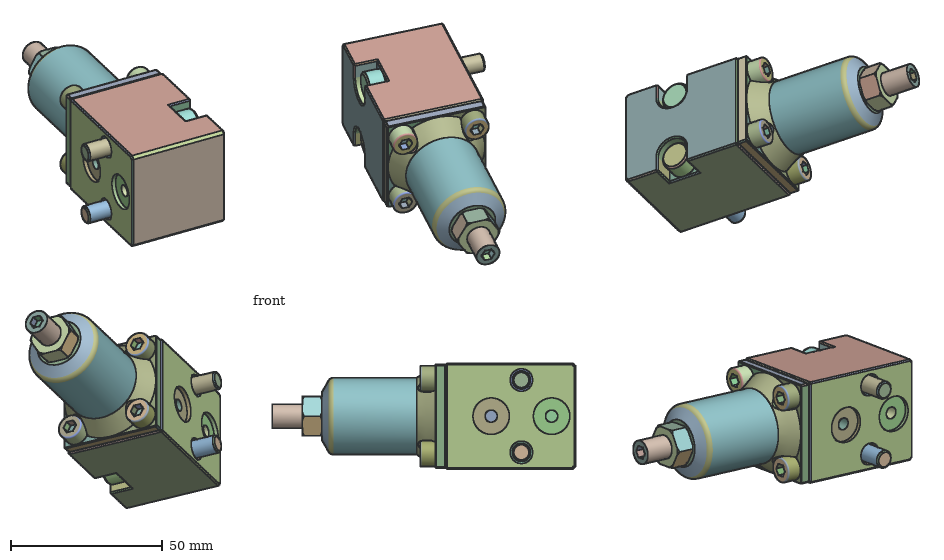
import cadquery as cq
import math

TIP_X = 0.0
NUT_X = 10.0
NOSE_X = 16.5
FLARE_X = 47.8
FLANGE_X = 54.0
BLOCK_X = 57.4
END_X = 100.5

BLOCK_SIDE = 35.0
BLOCK_EDGE_CHAMFER = 0.5
BLOCK_JOINT_CHAMFER = 0.5
BLOCK_END_CHAMFER = 1.0

PORT_X = 72.5
PORT_PITCH = 20.0
PORT_RECESS_DIAMETER = 12.1
PORT_RECESS_DEPTH = 1.4
PORT_HOLE_DIAMETER = 4.0
PORT_HOLE_DEPTH = 10.0

MOUNT_X = PORT_X + PORT_PITCH / 2
MOUNT_Z = 12.0
MOUNT_DIAMETER = 6.0
MOUNT_CLEARANCE = 7.4
MOUNT_HEAD_DIAMETER = 9.9
MOUNT_HEAD_HEIGHT = 6.0
MOUNT_HEAD_CHAMFER = 0.6
MOUNT_TIP_CHAMFER = 0.5
MOUNT_PROJECTION = 8.0
NOTCH_WIDTH = 11.1
NOTCH_DEPTH = 7.9
NOTCH_CHAMFER = 0.5
CHAMFER_ANGLE = 45

FLANGE_SIDE = 34.4
FLANGE_EDGE_CHAMFER = 0.5
FLANGE_RIM_CHAMFER = 0.3
BARREL_RADIUS = 12.8
FLARE_RADIUS = 16.9
NOSE_RADIUS = 8.0
NOSE_ANGLE = math.radians(60)
NOSE_BLEND = 2.0

COVER_SCREW_OFFSET = 12.5
COVER_SCREW_DIAMETER = 5.0
COVER_SCREW_LENGTH = 12.1
COVER_HEAD_DIAMETER = 8.5
COVER_HEAD_HEIGHT = 5.0
COVER_HEAD_FILLET = 0.5
COVER_HEAD_CLEARANCE = 9.0

ADJUSTER_DIAMETER = 8.0
NUT_FLATS = 13.1
NUT_CHAMFER_LENGTH = 0.5
NUT_CHAMFER_DEPTH = 0.6
SOCKET_FLATS = 4.0
SOCKET_DEPTH = 3.0


def yz_plane(x):
    """Plane facing +X at station x, with local axes along Y and Z."""
    return cq.Workplane("YZ", origin=(x, 0, 0))


def hexagon_diameter(flats):
    """Distance across the corners of a hexagon."""
    return flats / math.cos(math.pi / 6)


def hex_socket(x):
    """Socket cut into the -X end of a screw; the corners point along Y."""
    return yz_plane(x).polygon(6, hexagon_diameter(SOCKET_FLATS)).extrude(SOCKET_DEPTH)


COVER_SCREW_PLACES = [
    (side_y * COVER_SCREW_OFFSET, side_z * COVER_SCREW_OFFSET)
    for side_y in (-1, 1)
    for side_z in (-1, 1)
]


def cover_screw_holes():
    holes = yz_plane(FLANGE_X).pushPoints(COVER_SCREW_PLACES)
    return holes.circle(COVER_SCREW_DIAMETER / 2).extrude(COVER_SCREW_LENGTH)


FRONT_Y = -BLOCK_SIDE / 2
BACK_Y = BLOCK_SIDE / 2
SEAT_Y = BACK_Y - NOTCH_DEPTH


def xz_plane(y, z, x=MOUNT_X, facing=1):
    """Plane at level y facing +Y, or -Y when facing is -1, centred on x and z."""
    return cq.Workplane(cq.Plane(origin=(x, y, z), xDir=(1, 0, 0), normal=(0, facing, 0)))


def notch_outline(y, width):
    """U shape around the upper mounting screw, open through the top face."""
    top = BLOCK_SIDE / 2 - MOUNT_Z + NOTCH_CHAMFER
    half = width / 2
    outline = xz_plane(y, MOUNT_Z, facing=-1).moveTo(half, top).lineTo(half, 0)
    return outline.threePointArc((0, -half), (-half, 0)).lineTo(-half, top).close()


def upper_mounting_recess():
    """Clearance hole and notch for the upper screw, with the notch edges chamfered."""
    hole = xz_plane(FRONT_Y, MOUNT_Z).circle(MOUNT_CLEARANCE / 2).extrude(BLOCK_SIDE)
    notch = notch_outline(BACK_Y, NOTCH_WIDTH).extrude(NOTCH_DEPTH)
    mouth_width = NOTCH_WIDTH + 2 * NOTCH_CHAMFER
    mouth_depth = NOTCH_DEPTH + NOTCH_CHAMFER
    back_mouth = notch_outline(BACK_Y, mouth_width).extrude(NOTCH_CHAMFER, taper=CHAMFER_ANGLE)
    top_mouth = (
        cq.Workplane("XY", origin=(MOUNT_X, BACK_Y, BLOCK_SIDE / 2))
        .rect(mouth_width, 2 * mouth_depth)
        .extrude(-NOTCH_CHAMFER, taper=CHAMFER_ANGLE)
    )
    return hole.union(notch).union(back_mouth).union(top_mouth)


def make_block():
    length = END_X - BLOCK_X
    block = cq.Workplane("XY").box(length, BLOCK_SIDE, BLOCK_SIDE)
    block = block.translate((BLOCK_X + length / 2, 0, 0))
    block = block.faces(">X").edges("|Y").chamfer(BLOCK_END_CHAMFER)
    block = block.faces("<Y or >Y").edges("not <X").chamfer(BLOCK_EDGE_CHAMFER)
    block = block.faces("<X").edges().chamfer(BLOCK_JOINT_CHAMFER)
    for port_x in (PORT_X, PORT_X + PORT_PITCH):
        face = xz_plane(FRONT_Y, 0, x=port_x)
        block = block.cut(face.circle(PORT_RECESS_DIAMETER / 2).extrude(PORT_RECESS_DEPTH))
        block = block.cut(face.circle(PORT_HOLE_DIAMETER / 2).extrude(PORT_HOLE_DEPTH))
    recess = upper_mounting_recess()
    block = block.cut(recess).cut(recess.mirror("XY"))
    return block.cut(cover_screw_holes())


def make_cover():
    blend_start_r = BARREL_RADIUS - NOSE_BLEND * (1 - math.cos(NOSE_ANGLE))
    blend_start_x = NOSE_X + (blend_start_r - NOSE_RADIUS) / math.tan(NOSE_ANGLE)
    blend_end_x = blend_start_x + NOSE_BLEND * math.sin(NOSE_ANGLE)
    blend_mid_x = blend_end_x - NOSE_BLEND * math.sin(NOSE_ANGLE / 2)
    blend_mid_r = BARREL_RADIUS - NOSE_BLEND * (1 - math.cos(NOSE_ANGLE / 2))
    barrel = (
        cq.Workplane("XY")
        .moveTo(NOSE_X, 0)
        .lineTo(NOSE_X, NOSE_RADIUS)
        .lineTo(blend_start_x, blend_start_r)
        .threePointArc((blend_mid_x, blend_mid_r), (blend_end_x, BARREL_RADIUS))
        .lineTo(FLARE_X, BARREL_RADIUS)
        .lineTo(FLANGE_X, FLARE_RADIUS)
        .lineTo(FLANGE_X, 0)
        .close()
        .revolve(360, (0, 0, 0), (1, 0, 0))
    )
    flange = yz_plane(FLANGE_X).rect(FLANGE_SIDE, FLANGE_SIDE).extrude(BLOCK_X - FLANGE_X)
    flange = flange.edges("|X").chamfer(FLANGE_EDGE_CHAMFER)
    flange = flange.faces("<X or >X").edges().chamfer(FLANGE_RIM_CHAMFER)
    cover = flange.union(barrel)
    heads = yz_plane(FLANGE_X).pushPoints(COVER_SCREW_PLACES)
    heads = heads.circle(COVER_HEAD_CLEARANCE / 2).extrude(FLARE_X - FLANGE_X)
    return cover.cut(heads).cut(cover_screw_holes())


def make_cover_screw(y, z):
    head = yz_plane(FLANGE_X).circle(COVER_HEAD_DIAMETER / 2).extrude(-COVER_HEAD_HEIGHT)
    head = head.faces("<X").edges().fillet(COVER_HEAD_FILLET)
    shank = yz_plane(FLANGE_X).circle(COVER_SCREW_DIAMETER / 2).extrude(COVER_SCREW_LENGTH)
    screw = head.union(shank).cut(hex_socket(FLANGE_X - COVER_HEAD_HEIGHT))
    return screw.translate((0, y, z))


def make_mounting_screw(z):
    head = xz_plane(SEAT_Y, z).circle(MOUNT_HEAD_DIAMETER / 2).extrude(MOUNT_HEAD_HEIGHT)
    head = head.faces(">Y").edges().chamfer(MOUNT_HEAD_CHAMFER)
    tip_y = FRONT_Y - MOUNT_PROJECTION
    shank = xz_plane(tip_y, z).circle(MOUNT_DIAMETER / 2).extrude(SEAT_Y - tip_y)
    shank = shank.faces("<Y").edges().chamfer(MOUNT_TIP_CHAMFER)
    return head.union(shank)


def make_lock_nut():
    thickness = NOSE_X - NUT_X
    corners = hexagon_diameter(NUT_FLATS)
    nut = yz_plane(NUT_X).polygon(6, corners).extrude(thickness)
    envelope = yz_plane(NUT_X).circle(corners / 2).extrude(thickness)
    for end in ("<X", ">X"):
        envelope = envelope.faces(end).edges().chamfer(NUT_CHAMFER_LENGTH, NUT_CHAMFER_DEPTH)
    bore = yz_plane(NUT_X).circle(ADJUSTER_DIAMETER / 2).extrude(thickness)
    return nut.intersect(envelope).cut(bore)


def make_adjusting_screw():
    screw = yz_plane(TIP_X).circle(ADJUSTER_DIAMETER / 2).extrude(NOSE_X - TIP_X)
    return screw.cut(hex_socket(TIP_X))


block = make_block()
cover = make_cover()
lock_nut = make_lock_nut()
adjusting_screw = make_adjusting_screw()
cover_screws = [make_cover_screw(y, z) for y, z in COVER_SCREW_PLACES]
mounting_screws = [make_mounting_screw(side * MOUNT_Z) for side in (-1, 1)]

result = cq.Compound.makeCompound([
    block.val(),
    cover.val(),
    lock_nut.val(),
    adjusting_screw.val(),
    *[screw.val() for screw in cover_screws],
    *[screw.val() for screw in mounting_screws],
])